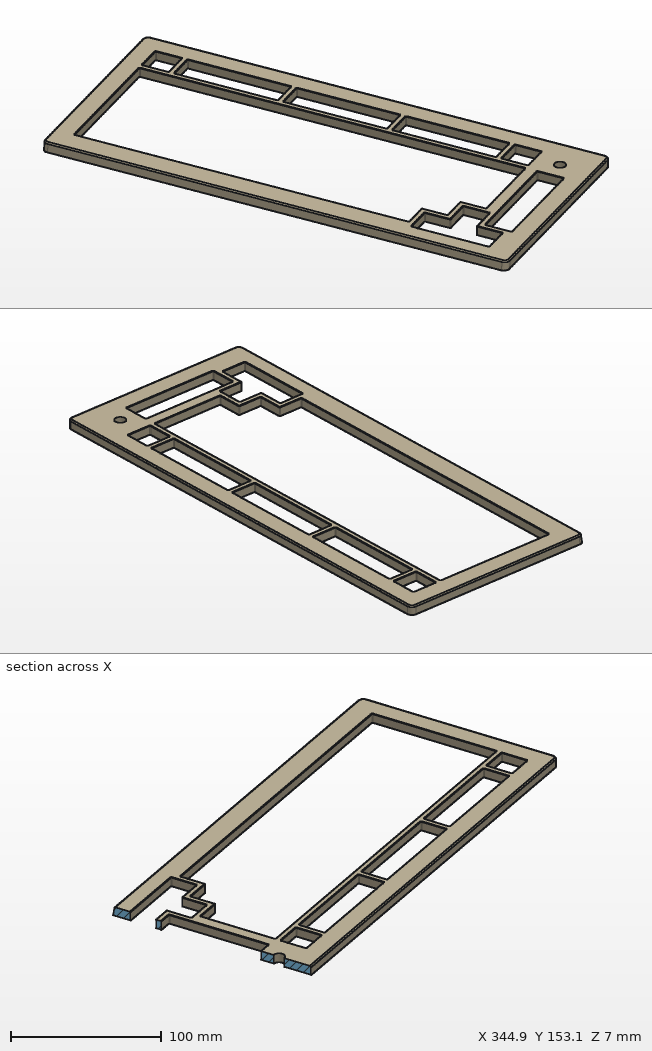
import math

import cadquery as cq

LENGTH = 344.85
WIDTH = 153.08
THICKNESS = 7.0
FRONT_LEAN_DEGREES = 9.0
CORNER_RADIUS = 4.0
EDGE_CHAMFER = 1.0

UNIT = 19.05
CLEARANCE = 0.22
GAP = UNIT / 4

OPENING_CORNER_RADIUS = 0.5
OPENING_CHAMFER = 0.4

FIELD_COLUMNS = 16.5
FIELD_ROWS = 6.5
FIELD_OFFSET_Y = -0.7
field_left = -FIELD_COLUMNS * UNIT / 2
field_right = -field_left
field_top = FIELD_OFFSET_Y + FIELD_ROWS * UNIT / 2
field_bottom = field_top - FIELD_ROWS * UNIT

FUNCTION_ROW_KEYS = (1, 4, 4, 4, 1)

MAIN_COLUMNS = 15
MAIN_ROWS = 5
main_top = field_top - UNIT - GAP
main_bottom = main_top - MAIN_ROWS * UNIT
main_right = field_left + MAIN_COLUMNS * UNIT

SIDE_COLUMN_KEYS = 4
ARROW_KEYS = 3
arrow_right = field_right - GAP
arrow_left = arrow_right - ARROW_KEYS * UNIT

HOLE_DIAMETER = 8.0
hole_x = field_right - UNIT / 2
hole_y = field_top - UNIT / 2


def make_plate():
    """Plate with a leaning front face, rounded corners and a chamfered top outer edge."""
    front = -WIDTH / 2
    back = WIDTH / 2
    lean_depth = THICKNESS * math.tan(math.radians(FRONT_LEAN_DEGREES))
    profile = [
        (front, 0),
        (back, 0),
        (back, THICKNESS),
        (front + lean_depth, THICKNESS),
    ]
    plate = cq.Workplane("YZ").polyline(profile).close().extrude(LENGTH / 2, both=True)
    plate = plate.faces("<X or >X").edges("not #Z").fillet(CORNER_RADIUS)
    return plate.faces(">Z").edges().chamfer(EDGE_CHAMFER)


def block_cutter(left, top, columns, rows):
    """Sharp-cornered cutter for a block of keys whose upper left key corner is at (left, top)."""
    size_x = columns * UNIT + 2 * CLEARANCE
    size_y = rows * UNIT + 2 * CLEARANCE
    corner = (left - CLEARANCE, top - rows * UNIT - CLEARANCE, 0)
    return cq.Workplane("XY").box(size_x, size_y, THICKNESS, centered=False).translate(corner)


def function_row_cutters():
    """One cutter per key group, with a rib left between neighbouring groups."""
    cutters = []
    left = field_left
    for keys in FUNCTION_ROW_KEYS:
        cutters.append(block_cutter(left, field_top, keys, 1))
        left += keys * UNIT + GAP
    return cutters


def main_block_cutter():
    """Main opening, one key shorter in the fourth row and two keys shorter in the fifth."""
    left = field_left - CLEARANCE
    right = main_right + CLEARANCE
    top = main_top + CLEARANCE
    bottom = main_bottom - CLEARANCE
    outline = [
        (left, top),
        (right, top),
        (right, bottom + 2 * UNIT),
        (right - UNIT, bottom + 2 * UNIT),
        (right - UNIT, bottom + UNIT),
        (right - 2 * UNIT, bottom + UNIT),
        (right - 2 * UNIT, bottom),
        (left, bottom),
    ]
    return cq.Workplane("XY").polyline(outline).close().extrude(THICKNESS)


def side_column_cutter():
    return block_cutter(field_right - UNIT, main_top, 1, SIDE_COLUMN_KEYS)


def arrow_cutter():
    """Inverted-T opening: a row of three keys with one key above the middle."""
    lower_row = block_cutter(arrow_left, field_bottom + UNIT, ARROW_KEYS, 1)
    middle_keys = block_cutter(arrow_left + UNIT, field_bottom + 2 * UNIT, 1, 2)
    return lower_row.union(middle_keys)


def cut_openings(plate):
    """Cut every key opening, with its vertical corners rounded."""
    cutters = function_row_cutters()
    cutters += [main_block_cutter(), side_column_cutter(), arrow_cutter()]
    for cutter in cutters:
        plate = plate.cut(cutter.edges("|Z").fillet(OPENING_CORNER_RADIUS))
    return plate


def chamfer_openings(plate):
    """Break the top edges of the openings, leaving the outer edge of the plate alone."""
    top_edges = cq.selectors.BoxSelector(
        (field_left - GAP, field_bottom - GAP, THICKNESS / 2 + EDGE_CHAMFER),
        (field_right + GAP, field_top + GAP, THICKNESS + EDGE_CHAMFER),
    )
    return plate.edges(top_edges).chamfer(OPENING_CHAMFER)


def cut_round_hole(plate):
    hole = cq.Workplane("XY").center(hole_x, hole_y).circle(HOLE_DIAMETER / 2).extrude(THICKNESS)
    return plate.cut(hole)


result = make_plate()
result = cut_openings(result)
result = chamfer_openings(result)
result = cut_round_hole(result)